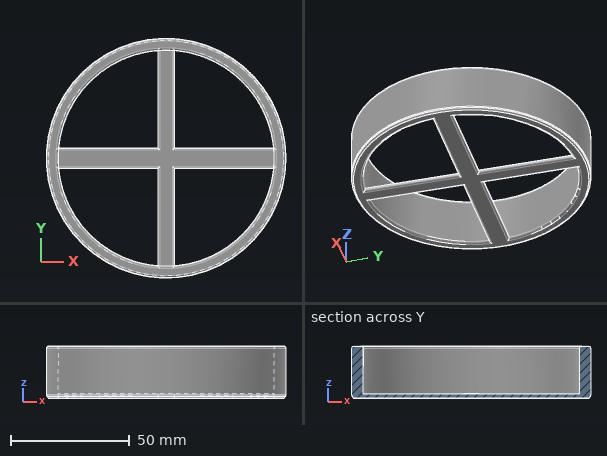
import cadquery as cq

outer_diameter = 101.0
inner_diameter = 91.0
height = 22.0
edge_radius = 1.0

taper_top = 1.3
taper_inset = 0.2
chamfer_height = 0.8
base_inset = 0.9

spoke_thickness = 2.0
x_spoke_width = 8.6
y_spoke_width = 7.0
spoke_fillet = 0.8

spoke_length = (outer_diameter + inner_diameter) / 2


def make_ring():
    """Ring with rounded rim and inner base edges and a two-step outer base edge."""
    outer_radius = outer_diameter / 2
    disc = (
        cq.Workplane("XZ")
        .lineTo(outer_radius - base_inset, 0)
        .lineTo(outer_radius - taper_inset, chamfer_height)
        .lineTo(outer_radius, taper_top)
        .lineTo(outer_radius, height)
        .lineTo(0, height)
        .close()
        .revolve()
    )
    bore = cq.Workplane("XY").circle(inner_diameter / 2).extrude(height)
    ring = disc.cut(bore).faces(">Z").edges().fillet(edge_radius)
    inner_base_edge = cq.selectors.RadiusNthSelector(0)
    return ring.faces("<Z").edges(inner_base_edge).fillet(edge_radius)


def make_spoke(width):
    """Spoke along X with its long edges rounded."""
    spoke = cq.Workplane("XY").box(spoke_length, width, spoke_thickness, centered=(True, True, False))
    return spoke.edges("|X").fillet(spoke_fillet)


def make_cross():
    """Two spokes crossing at the ring axis, trimmed to end inside the ring wall."""
    x_spoke = make_spoke(x_spoke_width)
    y_spoke = make_spoke(y_spoke_width).rotate((0, 0, 0), (0, 0, 1), 90)
    wall_limit = cq.Workplane("XY").circle(spoke_length / 2).extrude(spoke_thickness)
    return x_spoke.union(y_spoke).intersect(wall_limit)


result = make_ring().union(make_cross())